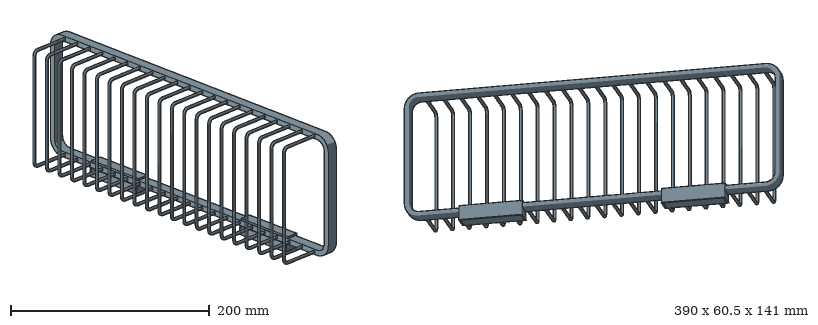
import cadquery as cq

frame_length = 390.0
frame_height = 133.0
frame_depth = 13.3
bar_thickness = 6.0
frame_corner_radius = 15.5
frame_back_fillet = 2.5

wire_count = 21
wire_row_length = 350.2
wire_diameter = 3.0
wire_bend_radius = 5.0
wire_front_y = -58.0
wire_embedding = 4.0

clip_length = 66.0
clip_spacing = 210.0
clip_wall = 2.0
clip_bottom_z = -8.0
clip_bottom_back_y = 2.5
clip_bottom_front_y = -16.0
clip_top_z = bar_thickness + clip_wall
clip_top_back_y = 1.0
clip_top_front_y = -12.5
clip_back_fillet = 2.0


def make_frame():
    """Ring of constant bar thickness, rounded along both back edges."""
    mid_z = frame_height / 2
    blank = (
        cq.Workplane("XZ", origin=(0, 0, mid_z))
        .rect(frame_length, frame_height)
        .extrude(frame_depth)
        .edges("|Y")
        .fillet(frame_corner_radius)
    )
    opening = (
        cq.Workplane("XZ", origin=(0, 0, mid_z))
        .rect(frame_length - 2 * bar_thickness, frame_height - 2 * bar_thickness)
        .extrude(frame_depth)
        .edges("|Y")
        .fillet(frame_corner_radius - bar_thickness)
    )
    ring = blank.cut(opening)
    return ring.faces(">Y").edges().fillet(frame_back_fillet)


def make_wire(x):
    """Round wire running from the lower bar out, up and back to the upper bar."""
    root_y = -frame_depth + wire_embedding
    low_z = bar_thickness / 2
    high_z = frame_height - low_z
    outer_y = wire_front_y + wire_diameter / 2
    bend_y = outer_y + wire_bend_radius
    path = (
        cq.Workplane("YZ", origin=(x, 0, 0))
        .moveTo(root_y, low_z)
        .lineTo(bend_y, low_z)
        .tangentArcPoint((outer_y, low_z + wire_bend_radius), relative=False)
        .lineTo(outer_y, high_z - wire_bend_radius)
        .tangentArcPoint((bend_y, high_z), relative=False)
        .lineTo(root_y, high_z)
    )
    profile = cq.Workplane("XZ", origin=(x, root_y, low_z)).circle(wire_diameter / 2)
    return profile.sweep(path)


def make_basket():
    """Frame and all its wires, welded into one solid."""
    basket = make_frame()
    wire_pitch = wire_row_length / (wire_count - 1)
    for index in range(wire_count):
        x = index * wire_pitch - wire_row_length / 2
        basket = basket.union(make_wire(x))
    return basket


def make_clip_block(length):
    """Solid block, centred on X = 0, whose front and back lean towards each other going up."""
    return (
        cq.Workplane("YZ", origin=(-length / 2, 0, 0))
        .moveTo(clip_bottom_front_y, clip_bottom_z)
        .lineTo(clip_bottom_back_y, clip_bottom_z)
        .lineTo(clip_top_back_y, clip_top_z)
        .lineTo(clip_top_front_y, clip_top_z)
        .close()
        .extrude(length)
    )


def make_filler():
    """Block between the end walls, below the bar and flush with the shell's front and bottom."""
    length = clip_length - 2 * clip_wall
    block = make_clip_block(length)
    ahead_of_back_wall = block.translate((0, -clip_wall, 0))
    below_bar = cq.Workplane("XY").box(
        length, 2 * frame_depth, -clip_bottom_z, centered=(True, True, False)
    ).translate((0, -frame_depth, clip_bottom_z))
    return block.intersect(ahead_of_back_wall).intersect(below_bar)


def make_shell(frame, filler):
    """Clip cover, with a channel open to the front for the bar and a recess for the filler."""
    block = make_clip_block(clip_length)
    back_edges = block.faces(">Y").edges("not <Z")
    rounded_block = back_edges.fillet(clip_back_fillet)
    channel_mouth = cq.Workplane("XY").box(
        clip_length, frame_depth, bar_thickness, centered=(True, False, False)
    ).translate((0, -2 * frame_depth, 0))
    return rounded_block.cut(frame).cut(channel_mouth).cut(filler)


basket = make_basket()
filler = make_filler()
shell = make_shell(make_frame(), filler)

bodies = [basket.val()]
for side in (-1, 1):
    clip_place = (side * clip_spacing / 2, 0, 0)
    bodies.append(shell.translate(clip_place).val())
    bodies.append(filler.translate(clip_place).val())

result = cq.Compound.makeCompound(bodies)